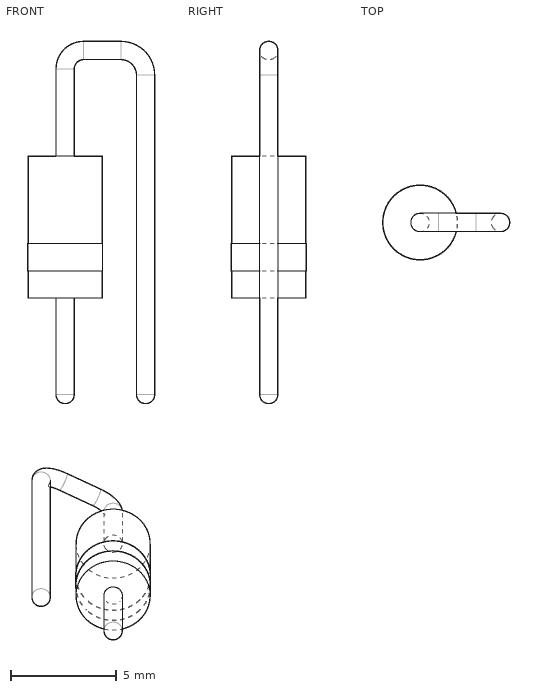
import cadquery as cq

overall_height = 17.19
overall_width = 6.03
body_diameter = 3.52
body_bottom = 5.0
body_top = 11.74
band_diameter = 3.55
band_bottom = 6.3
band_height = 1.3
lead_diameter = 0.88
inner_bend_radius = 0.88
outer_bend_radius = 1.17

lead_radius = lead_diameter / 2
return_leg_x = overall_width - band_diameter / 2 - lead_radius
bridge_z = overall_height - lead_radius


def make_body():
    """Plain cylinder of the diode."""
    return (
        cq.Workplane("XY", origin=(0, 0, body_bottom))
        .circle(body_diameter / 2)
        .extrude(body_top - body_bottom)
    )


def make_band():
    """Thin marking sleeve around the body."""
    return (
        cq.Workplane("XY", origin=(0, 0, band_bottom))
        .circle(band_diameter / 2)
        .circle(body_diameter / 2)
        .extrude(band_height)
    )


def make_tip(x):
    """Hemispherical lead tip that touches Z = 0."""
    return (
        cq.Workplane("XZ", origin=(x, 0, 0))
        .moveTo(0, 0)
        .radiusArc((lead_radius, lead_radius), -lead_radius)
        .lineTo(0, lead_radius)
        .close()
        .revolve(360, (0, 0), (0, 1))
    )


def make_straight_lead():
    """Lead below the body, with a rounded tip."""
    shank = (
        cq.Workplane("XY", origin=(0, 0, lead_radius))
        .circle(lead_radius)
        .extrude(body_bottom - lead_radius)
    )
    return shank.union(make_tip(0))


def make_bent_lead():
    """Lead that leaves the body top, crosses over and returns down to a rounded tip."""
    path = (
        cq.Workplane("XZ")
        .moveTo(0, body_top)
        .lineTo(0, bridge_z - inner_bend_radius)
        .tangentArcPoint((inner_bend_radius, bridge_z), relative=False)
        .lineTo(return_leg_x - outer_bend_radius, bridge_z)
        .tangentArcPoint((return_leg_x, bridge_z - outer_bend_radius), relative=False)
        .lineTo(return_leg_x, lead_radius)
    )
    wire = cq.Workplane("XY", origin=(0, 0, body_top)).circle(lead_radius).sweep(path)
    return wire.union(make_tip(return_leg_x))


body = make_body()
band = make_band()
straight_lead = make_straight_lead()
bent_lead = make_bent_lead()

result = cq.Compound.makeCompound([body.val(), band.val(), straight_lead.val(), bent_lead.val()])